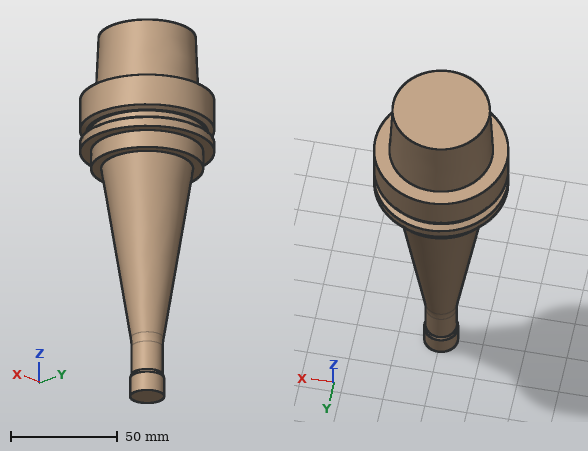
import cadquery as cq
import math

overall_length = 182.0
tip_top = 9.3
tip_cone_top = 11.0
neck_top = 25.1
neck_blend_top = 29.7
collar_bottom = 115.8
flange_bottom = 124.3
groove_lower_rim = 128.7
groove_floor_bottom = 130.3
groove_floor_top = 133.8
groove_upper_rim = 135.2
flange_top = 150.3

tip_radius = 16.0 / 2
neck_radius = 14.7 / 2
cone_top_radius = 43.1 / 2
collar_radius = 52.6 / 2
groove_radius = 55.0 / 2
groove_ledge_radius = 28.5
flange_radius = 63.0 / 2
shank_base_radius = 48.6 / 2
shank_top_radius = 45.7 / 2

blend_height = neck_blend_top - neck_top
cone_height = collar_bottom - neck_blend_top
cone_half_angle = math.atan((cone_top_radius - neck_radius) / (cone_height + blend_height / 2))
blend_top_radius = neck_radius + blend_height * math.tan(cone_half_angle / 2)

profile = (
    cq.Workplane("XZ")
    .lineTo(tip_radius, 0)
    .lineTo(tip_radius, tip_top)
    .lineTo(neck_radius, tip_cone_top)
    .lineTo(neck_radius, neck_top)
    .tangentArcPoint((blend_top_radius, neck_blend_top), relative=False)
    .lineTo(cone_top_radius, collar_bottom)
    .lineTo(collar_radius, collar_bottom)
    .lineTo(collar_radius, flange_bottom)
    .lineTo(flange_radius, flange_bottom)
    .lineTo(flange_radius, groove_lower_rim)
    .lineTo(groove_ledge_radius, groove_floor_bottom)
    .lineTo(groove_radius, groove_floor_bottom)
    .lineTo(groove_radius, groove_floor_top)
    .lineTo(groove_ledge_radius, groove_floor_top)
    .lineTo(flange_radius, groove_upper_rim)
    .lineTo(flange_radius, flange_top)
    .lineTo(shank_base_radius, flange_top)
    .lineTo(shank_top_radius, overall_length)
    .lineTo(0, overall_length)
    .close()
)

result = profile.revolve(360, (0, 0, 0), (0, 1, 0))